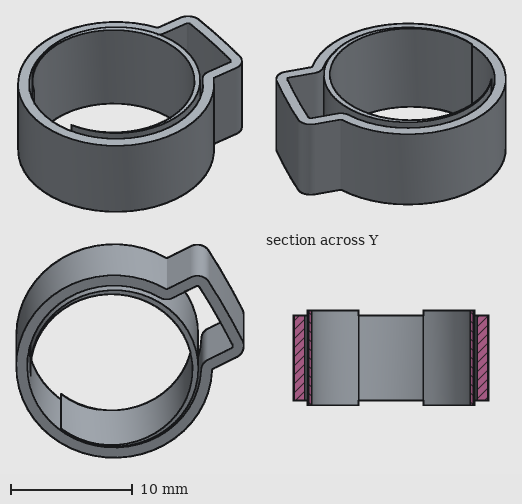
import cadquery as cq
import math

band_width = 16.1
band_radius = band_width / 2
band_thickness = 0.9
band_height = 7.0
ear_half_width = 4.0
overall_length = 18.49
ear_reach = overall_length - band_radius
crown_radius = 62.87
inner_corner_radius = 0.2
outer_corner_radius = inner_corner_radius + band_thickness
outer_neck_radius = 0.1
inner_neck_radius = outer_neck_radius + band_thickness

liner_radius = 6.9
liner_height = 7.8
liner_top_thickness = 0.5
liner_bore_shift = liner_top_thickness / 2
liner_bore_radius = liner_radius - liner_bore_shift
liner_gap = 5.3


def centred_cylinder(radius, height):
    return cq.Workplane("XY").circle(radius).extrude(height / 2, both=True)


def ring_with_ear(inset, corner_radius, neck_radius):
    """Solid ring-and-ear shape, its sides moved in by the inset from the band's outside."""
    half_width = ear_half_width - inset
    top_radius = crown_radius - inset
    top_centre_y = ear_reach - crown_radius
    shoulder_y = top_centre_y + math.sqrt(top_radius**2 - half_width**2)
    ear = (
        cq.Workplane("XY")
        .moveTo(-half_width, 0)
        .lineTo(half_width, 0)
        .lineTo(half_width, shoulder_y)
        .threePointArc((0, ear_reach - inset), (-half_width, shoulder_y))
        .close()
        .extrude(band_height / 2, both=True)
    )
    ring_radius = band_radius - inset
    neck_y = math.sqrt(ring_radius**2 - half_width**2)
    shape = centred_cylinder(ring_radius, band_height).union(ear)
    for corner_y, radius in ((shoulder_y, corner_radius), (neck_y, neck_radius)):
        for corner_x in (-half_width, half_width):
            corner = cq.selectors.NearestToPointSelector((corner_x, corner_y, 0))
            shape = shape.edges("|Z").edges(corner).fillet(radius)
    return shape


def make_band():
    outside = ring_with_ear(0, outer_corner_radius, outer_neck_radius)
    inside = ring_with_ear(band_thickness, inner_corner_radius, inner_neck_radius)
    return outside.cut(inside)


def make_liner():
    bore = centred_cylinder(liner_bore_radius, liner_height).translate((0, -liner_bore_shift, 0))
    gap = cq.Workplane("XY").box(liner_gap, liner_radius, liner_height).translate((0, -liner_radius, 0))
    return centred_cylinder(liner_radius, liner_height).cut(gap).cut(bore)


band = make_band()
liner = make_liner()
result = cq.Compound.makeCompound([band.solids().val(), liner.solids().val()])